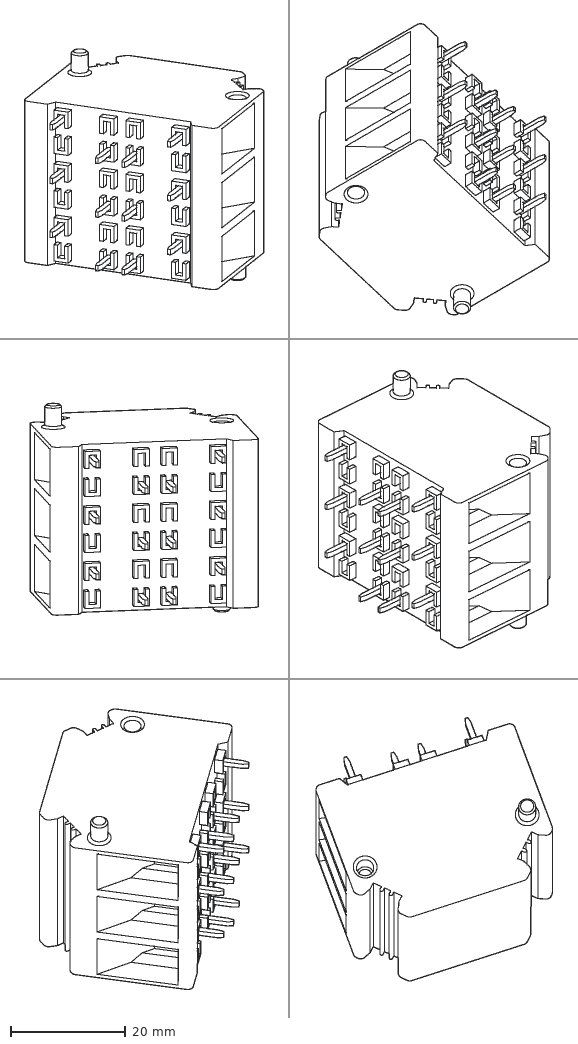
import cadquery as cq
import math


WIDTH = 36.8
HEIGHT = 30.0
DEPTH = 28.8
CORNER_RADIUS = 1.0
HALF_WIDTH = WIDTH / 2

RECESS_DEPTH = 1.6
FOOT_WIDTH = 4.65
RECESS_SLOPE_RUN = 0.9

GROOVE_CENTER_X = HALF_WIDTH - 5.72
GROOVE_CENTER_Y = DEPTH - 6.28
GROOVE_FLOOR_HALF = 2.78
GROOVE_WALL_HEIGHT = 1.23
LIP_FLARE = math.radians(21)
LIP_FLARE_LENGTH = 2.03

RIDGE_WIDTH = 0.6
RIDGE_HEIGHT = 0.83
RIDGE_SPACING = 1.81

PEG_X = 15.0
PEG_Y = 17.25
PEG_RADIUS = 1.5
PEG_LENGTH = 4.0
PEG_CHAMFER = 0.35
COLLAR_RADIUS = 2.08
COLLAR_HEIGHT = 0.4

POCKET_PITCH = 10.0
POCKET_COUNT = 3
POCKET_FRONT_Y = 2.5
POCKET_BACK_Y = 16.95
POCKET_FLOOR_FRONT_Y = 3.85
POCKET_FLOOR_BACK_Y = 8.15
POCKET_DEPTH = 7.1
POCKET_HEIGHT = 8.4
THROAT_HEIGHT = 5.8
FUNNEL_START = 4.2
FUNNEL_END = 5.6

ROW_PITCH = 5.0
ROW_COUNT = 6
INNER_COLUMN_X = 2.5
OUTER_COLUMN_X = 11.22
BRACKET_WIDTH = 2.75
BRACKET_HEIGHT = 3.05
BRACKET_DEPTH = 1.45
BRACKET_SLOT_WIDTH = 1.32
BRACKET_BRIDGE = 0.7

PIN_WIDTH = 1.0
PIN_TIP_WIDTH = 0.5
PIN_THICKNESS = 1.0
PIN_REACH = 4.22
PIN_TAPER = 1.08


def groove_point(along, outward):
    """Point on the right-hand side from distances along and out of the groove floor."""
    root = math.sqrt(2)
    return (GROOVE_CENTER_X + (along + outward) / root, GROOVE_CENTER_Y + (outward - along) / root)


def lip_points(side):
    """Floor corner, wall top and lip tip on one side of the groove (side = +1 or -1)."""
    lean = side * LIP_FLARE_LENGTH * math.sin(LIP_FLARE)
    lip_top = GROOVE_WALL_HEIGHT + LIP_FLARE_LENGTH * math.cos(LIP_FLARE)
    return [
        groove_point(side * GROOVE_FLOOR_HALF, 0),
        groove_point(side * GROOVE_FLOOR_HALF, GROOVE_WALL_HEIGHT),
        groove_point(side * GROOVE_FLOOR_HALF + lean, lip_top),
    ]


def make_housing():
    """Plain block with the foot recess and both rail grooves, rounded at its corners."""
    front_floor, front_wall, front_tip = lip_points(+1)
    back_floor, back_wall, back_tip = lip_points(-1)
    outer_sum = back_tip[0] + back_tip[1]
    foot_corner = (HALF_WIDTH, 0)
    side_corner = (HALF_WIDTH, outer_sum - HALF_WIDTH)
    back_corner = (outer_sum - DEPTH, DEPTH)
    foot_inner_x = HALF_WIDTH - FOOT_WIDTH
    right_side = [
        (foot_inner_x - RECESS_SLOPE_RUN, RECESS_DEPTH),
        (foot_inner_x, 0),
        foot_corner,
        side_corner,
        front_tip,
        front_wall,
        front_floor,
        back_floor,
        back_wall,
        back_tip,
        back_corner,
    ]
    left_side = [(-x, y) for x, y in reversed(right_side)]
    body = cq.Workplane("XY").polyline(right_side + left_side).close().extrude(HEIGHT / 2, both=True)
    for x, y in (foot_corner, side_corner, front_tip, back_tip, back_corner):
        for corner_x in (x, -x):
            nearest_edge = cq.selectors.NearestToPointSelector((corner_x, y, 0))
            body = body.edges("|Z").edges(nearest_edge).fillet(CORNER_RADIUS)
    return body


def make_ridges():
    """Both ridges of the right-hand groove."""
    ridges = cq.Workplane("XY")
    nose = RIDGE_WIDTH / 2
    for center in (-RIDGE_SPACING / 2, RIDGE_SPACING / 2):
        ridge = (
            cq.Workplane("XY")
            .moveTo(*groove_point(center - nose, -nose))
            .lineTo(*groove_point(center - nose, RIDGE_HEIGHT - nose))
            .threePointArc(
                groove_point(center, RIDGE_HEIGHT),
                groove_point(center + nose, RIDGE_HEIGHT - nose),
            )
            .lineTo(*groove_point(center + nose, -nose))
            .close()
            .extrude(HEIGHT / 2, both=True)
        )
        ridges = ridges.add(ridge)
    return ridges.combine()


def make_pocket(z):
    """Cutter for one wire pocket in the -X face: sloped end walls, closing in to a throat in Z."""
    face_x = -HALF_WIDTH
    floor_x = face_x + POCKET_DEPTH
    plan = (
        cq.Workplane("XY", origin=(0, 0, z))
        .polyline([
            (face_x, POCKET_FRONT_Y),
            (floor_x, POCKET_FLOOR_FRONT_Y),
            (floor_x, POCKET_FLOOR_BACK_Y),
            (face_x, POCKET_BACK_Y),
        ])
        .close()
        .extrude(POCKET_HEIGHT / 2, both=True)
    )
    mouth = POCKET_HEIGHT / 2
    throat = THROAT_HEIGHT / 2
    funnel = (
        cq.Workplane("XZ", origin=(0, 0, z))
        .polyline([
            (face_x, -mouth),
            (face_x + FUNNEL_START, -mouth),
            (face_x + FUNNEL_END, -throat),
            (floor_x, -throat),
            (floor_x, throat),
            (face_x + FUNNEL_END, throat),
            (face_x + FUNNEL_START, mouth),
            (face_x, mouth),
        ])
        .close()
        .extrude(-DEPTH)
    )
    return plan.intersect(funnel)


def make_peg():
    """Peg standing on the top face, with a cone-shaped collar at its root."""
    top = HEIGHT / 2
    return (
        cq.Workplane("XZ")
        .polyline([
            (0, top),
            (COLLAR_RADIUS, top),
            (PEG_RADIUS, top + COLLAR_HEIGHT),
            (PEG_RADIUS, top + PEG_LENGTH - PEG_CHAMFER),
            (PEG_RADIUS - PEG_CHAMFER, top + PEG_LENGTH),
            (0, top + PEG_LENGTH),
        ])
        .close()
        .revolve(360, (0, 0, 0), (0, 1, 0))
        .translate((-PEG_X, PEG_Y, 0))
    )


def make_socket():
    """Cutter in the top face that takes the peg of the next block."""
    return make_peg().mirror("XY", (0, 0, HEIGHT / 2)).translate((2 * PEG_X, 0, 0))


def turned(shape):
    """The same shape at the opposite end: half a turn about Y."""
    return shape.rotate((0, 0, 0), (0, 1, 0), 180)


def make_bracket(x, z, opening):
    """U-shaped bracket on the recess floor; opening is +1 (towards +Z) or -1."""
    center_y = RECESS_DEPTH - BRACKET_DEPTH / 2
    block = cq.Workplane("XY").box(BRACKET_WIDTH, BRACKET_DEPTH, BRACKET_HEIGHT)
    slot = (
        cq.Workplane("XY")
        .box(BRACKET_SLOT_WIDTH, BRACKET_DEPTH, BRACKET_HEIGHT)
        .translate((0, 0, opening * BRACKET_BRIDGE))
    )
    return block.cut(slot).translate((x, center_y, z))


def make_pin(x, z):
    """Solder pin with a tip tapered in X."""
    half = PIN_WIDTH / 2
    tip = PIN_TIP_WIDTH / 2
    return (
        cq.Workplane("XY", origin=(x, 0, z))
        .polyline([
            (-half, RECESS_DEPTH),
            (-half, PIN_TAPER - PIN_REACH),
            (-tip, -PIN_REACH),
            (tip, -PIN_REACH),
            (half, PIN_TAPER - PIN_REACH),
            (half, RECESS_DEPTH),
        ])
        .close()
        .extrude(PIN_THICKNESS / 2, both=True)
    )


housing = make_housing()

ridges = make_ridges()
housing = housing.union(ridges).union(ridges.mirror("YZ"))

for index in range(POCKET_COUNT):
    pocket = make_pocket((index - (POCKET_COUNT - 1) / 2) * POCKET_PITCH)
    housing = housing.cut(pocket).cut(pocket.mirror("YZ"))

peg = make_peg()
socket = make_socket()
housing = housing.union(peg).union(turned(peg)).cut(socket).cut(turned(socket))

for row in range(ROW_COUNT):
    row_z = ((ROW_COUNT - 1) / 2 - row) * ROW_PITCH
    opens_down = row % 2 == 0
    for column_x in (-OUTER_COLUMN_X, -INNER_COLUMN_X, INNER_COLUMN_X, OUTER_COLUMN_X):
        housing = housing.union(make_bracket(column_x, row_z, -1 if opens_down else 1))
        outer_column = abs(column_x) == OUTER_COLUMN_X
        if outer_column == opens_down:
            housing = housing.union(make_pin(column_x, row_z))

result = housing.solids()